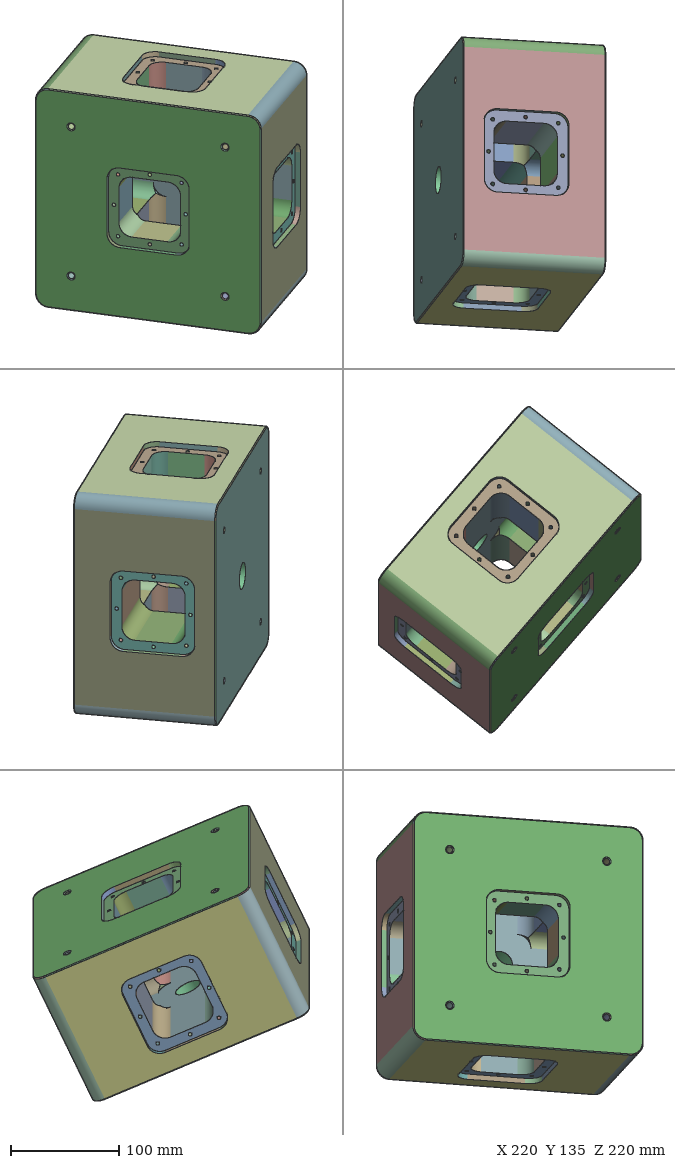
import cadquery as cq

side = 220.0
thickness = 135.0
corner_radius = 12.5
edge_chamfer = 1.0

passage_size = 60.0
passage_radius = 12.5
passage_y = 7.5

recess_size = 80.0
recess_radius = 12.5
recess_depth = 5.0

screw_diameter = 3.3
screw_depth = 10.0
screw_side_offset = 35.0
screw_corner_offset = 31.0

back_hole_diameter = 25.0

mount_diameter = 6.0
mount_countersink_diameter = 8.0
mount_countersink_angle = 90.0
mount_offset = 75.0


def rounded_square_prism(plane, size, radius, depth):
    """Prism with rounded corners, running inwards from the plane."""
    outline = cq.Sketch().rect(size, size).vertices().fillet(radius)
    return cq.Workplane(plane).placeSketch(outline).extrude(-depth)


def screw_positions():
    """Four holes at mid-side and four at the corners of a recess."""
    a = screw_side_offset
    c = screw_corner_offset
    mid_sides = [(a, 0), (-a, 0), (0, a), (0, -a)]
    corners = [(u, v) for u in (-c, c) for v in (-c, c)]
    return mid_sides + corners


def mouth_cut(plane, passage_depth):
    """Passage, recess and screw holes cut inwards from one face."""
    passage = rounded_square_prism(plane, passage_size, passage_radius, passage_depth)
    recess = rounded_square_prism(plane, recess_size, recess_radius, recess_depth)
    screws = (
        cq.Workplane(plane)
        .pushPoints(screw_positions())
        .circle(screw_diameter / 2)
        .extrude(-(recess_depth + screw_depth))
    )
    return passage.union(recess).union(screws)


half_side = side / 2
half_thickness = thickness / 2
front_plane = cq.Plane(origin=(0, -half_thickness, 0), xDir=(1, 0, 0), normal=(0, -1, 0))
side_planes = [
    cq.Plane(origin=(sign * half_side, passage_y, 0), xDir=(0, 1, 0), normal=(sign, 0, 0))
    for sign in (-1, 1)
]
end_planes = [
    cq.Plane(origin=(0, passage_y, sign * half_side), xDir=(1, 0, 0), normal=(0, 0, sign))
    for sign in (-1, 1)
]

body = (
    cq.Workplane("XY")
    .box(side, thickness, side)
    .edges("|Y")
    .fillet(corner_radius)
    .faces("<Y or >Y")
    .chamfer(edge_chamfer)
)

front_passage_depth = half_thickness + passage_y + passage_size / 2
body = body.cut(mouth_cut(front_plane, front_passage_depth))
for mouth_plane in side_planes + end_planes:
    body = body.cut(mouth_cut(mouth_plane, half_side + passage_size / 2))

back_hole = (
    cq.Workplane("XZ", origin=(0, passage_y, 0))
    .circle(back_hole_diameter / 2)
    .extrude(-thickness)
)
body = body.cut(back_hole)

result = (
    body.copyWorkplane(cq.Workplane(front_plane))
    .rect(2 * mount_offset, 2 * mount_offset, forConstruction=True)
    .vertices()
    .cskHole(mount_diameter, mount_countersink_diameter, mount_countersink_angle)
)